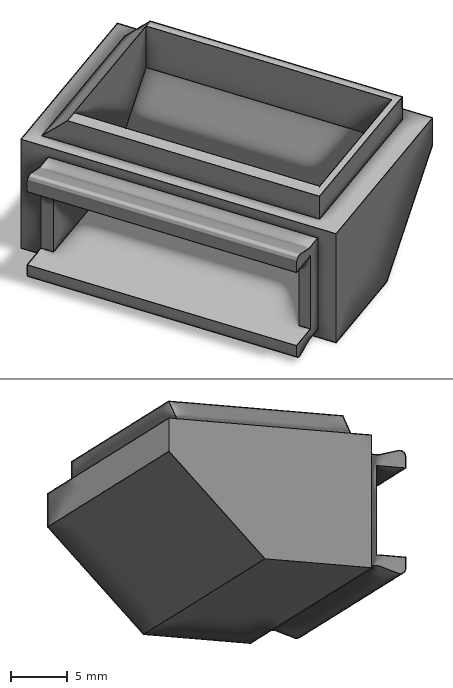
import cadquery as cq

body_width = 31.0
total_depth = 23.2
body_height = 12.0
total_height = 14.5
flange_depth = 4.2
back_chamfer = 9.0
collar_height = total_height - body_height

port_bottom = 1.9
port_height = 8.05
port_top = port_bottom + port_height
duct_width = 24.15
opening_back = total_depth - 2.23
opening_front = flange_depth + 2.6

collar_left = 1.43
collar_right = 28.75
collar_front = flange_depth + 1.27
collar_back = total_depth - 1.43
duct_left = collar_left + collar_height

flange_left = 2.7
flange_width = 26.5
flange_plate = 1.45
lip_thickness = 1.0
flare_start = flange_depth - 1.67
flare_rise = 0.75
tip_radius = 0.55


def extrude_along_x(points, left, width):
    """Extrude a closed (Y, Z) outline in +X from the given left side."""
    return cq.Workplane("YZ", origin=(left, 0, 0)).polyline(points).close().extrude(width)


def make_body():
    return extrude_along_x(
        [
            (flange_depth, 0),
            (total_depth - back_chamfer, 0),
            (total_depth, back_chamfer),
            (total_depth, body_height),
            (flange_depth, body_height),
        ],
        0,
        body_width,
    )


def make_collar():
    return (
        cq.Workplane("XZ", origin=(0, collar_back, 0))
        .moveTo(collar_left, body_height)
        .lineTo(collar_right, body_height)
        .lineTo(collar_right, total_height)
        .lineTo(duct_left, total_height)
        .close()
        .extrude(collar_back - collar_front)
    )


def make_flange():
    """Channel-shaped flange whose lips thicken outwards to rounded tips."""
    channel_floor = flange_depth - flange_plate
    outer_top = port_top + lip_thickness
    outer_bottom = port_bottom - lip_thickness
    flange = extrude_along_x(
        [
            (flange_depth, outer_bottom),
            (flange_depth, outer_top),
            (flare_start, outer_top),
            (0, outer_top + flare_rise),
            (0, port_top),
            (channel_floor, port_top),
            (channel_floor, port_bottom),
            (0, port_bottom),
            (0, outer_bottom - flare_rise),
            (flare_start, outer_bottom),
        ],
        flange_left,
        flange_width,
    )
    tip_edges = flange.edges("|X and (>Z or <Z)")
    return tip_edges.fillet(tip_radius)


def make_duct():
    """Passage with a level floor and a 45 degree ramp rising to the opening."""
    return extrude_along_x(
        [
            (0, port_bottom),
            (opening_back - port_height, port_bottom),
            (opening_back, port_top),
            (opening_back, total_height),
            (opening_front, total_height),
            (opening_front, port_top),
            (0, port_top),
        ],
        duct_left,
        duct_width,
    )


result = make_body().union(make_collar()).union(make_flange()).cut(make_duct())